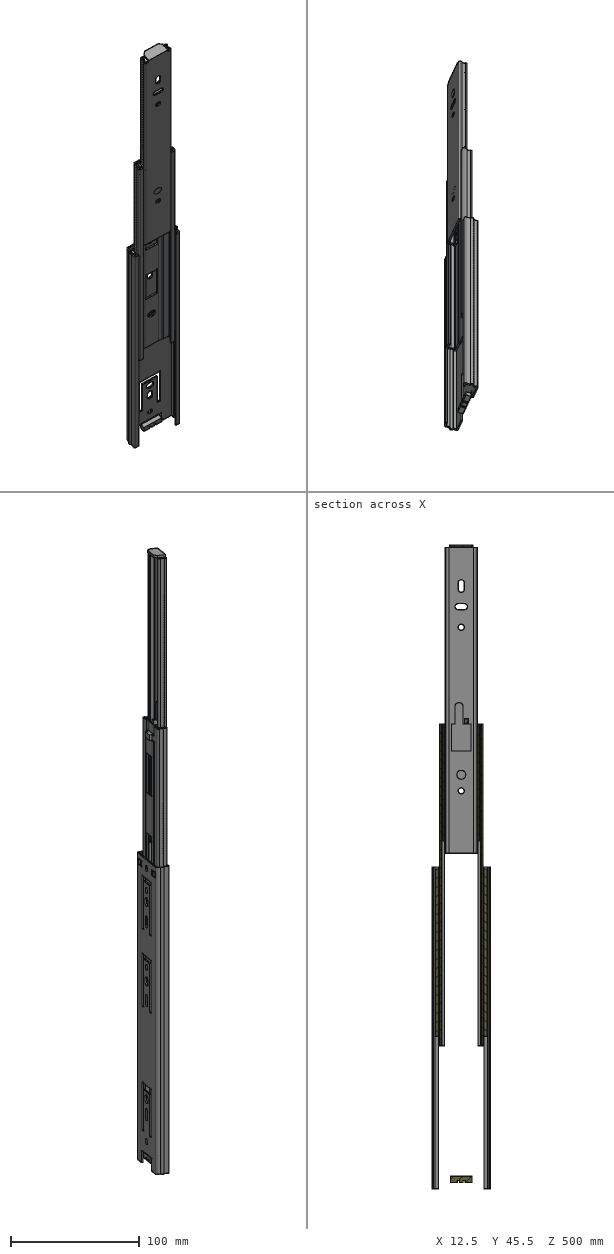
import cadquery as cq

SHEET = 1.25
HALF_LENGTH = 250.0
HALF_DEPTH = 12.5 / 2
BEND = 1.0
RACE_WIDTH = 3.0

OUTER_BACK = -HALF_DEPTH
OUTER_FRONT = 5.0
OUTER_HALF_WIDTH = 21.5
OUTER_MOUTH = 17.5
OUTER_RACE = (-1.0, 1.25)
OUTER_BOTTOM = -HALF_LENGTH
OUTER_TOP = 0.0

MIDDLE_BACK = -3.25
MIDDLE_FRONT = 5.0
MIDDLE_HALF_WIDTH = 17.0
MIDDLE_MOUTH = 13.0
MIDDLE_RACE = (0.0, -0.75)
MIDDLE_TOP = 111.0
MIDDLE_BOTTOM = MIDDLE_TOP - HALF_LENGTH
RIB_HALF_WIDTH = 10.5
RIB_HEIGHT = 0.75
RIB_SHOULDER_HEIGHT = 0.5
RIB_SHOULDER_HALF_WIDTH = 9.5
RIB_FACE_HALF_WIDTH = 6.5
RIB_TOP = 98.5

INNER_WEB = HALF_DEPTH
INNER_LIP = -0.75
INNER_HALF_WIDTH = 12.5
INNER_MOUTH = 9.5
INNER_RACE = (2.5, -0.75)
INNER_TOP = 248.0
INNER_BOTTOM = 10.5

HOLE = 4.5
LARGE_HOLE = 7.0
SLOT_LENGTH = 9.5


def box(x, y, z):
    """Block spanning the given (low, high) range on each axis."""
    size = [high - low for low, high in (x, y, z)]
    return cq.Workplane("XY").box(*size, centered=False).translate((x[0], y[0], z[0]))


def profile_bar(x_low, x_high, half_width, race, z_low, z_high):
    """Bar with a rounded ridge, or a groove if the race height is negative, along both Y sides."""
    race_x, race_height = race
    race_low = race_x - RACE_WIDTH / 2
    race_high = race_x + RACE_WIDTH / 2
    outline = (
        cq.Workplane("XY", origin=(0, 0, z_low))
        .moveTo(x_low, -half_width)
        .lineTo(race_low, -half_width)
        .threePointArc((race_x, -half_width - race_height), (race_high, -half_width))
        .lineTo(x_high, -half_width)
        .lineTo(x_high, half_width)
        .lineTo(race_high, half_width)
        .threePointArc((race_x, half_width + race_height), (race_low, half_width))
        .lineTo(x_low, half_width)
        .close()
    )
    return outline.extrude(z_high - z_low)


def channel(web_x, lip_x, half_width, mouth, race, z_low, z_high):
    """Lipped sheet channel with its web at web_x, open at lip_x."""
    x_low, x_high = sorted((web_x, lip_x))
    body = profile_bar(x_low, x_high, half_width, race, z_low, z_high)
    body = body.edges("|Z and (<X or >X)").fillet(BEND)
    cavity = profile_bar(x_low + SHEET, x_high - SHEET, half_width - SHEET, race, z_low, z_high)
    open_side = sorted((lip_x, (web_x + lip_x) / 2))
    opening = box(open_side, (-mouth, mouth), (z_low, z_high))
    return body.cut(cavity).cut(opening)


def slot(z, x, height=HOLE, width=HOLE):
    """Round-ended cutter along X through the range x; a hole when height equals width."""
    plane = cq.Workplane("YZ", origin=(x[0], 0, z))
    depth = x[1] - x[0]
    if height == width:
        return plane.circle(width / 2).extrude(depth)
    angle = 90 if height > width else 0
    return plane.slot2D(max(height, width), min(height, width), angle).extrude(depth)


WEB_CUT = (OUTER_BACK, OUTER_BACK + SHEET)
TONGUE_HALF_WIDTH = 7.0
TONGUE_SLIT_EDGE = 10.0
TONGUES = [
    (-15.5, -59.0, 3.5),
    (-79.0, -122.0, 3.5),
    (-184.0, -223.0, 5.0),
]
OUTER_HOLES = [-7.0, -25.0, -87.5, -229.5]
OUTER_LARGE_HOLES = [-34.5, -99.0, -195.0]
OUTER_SLOTS = [-50.5, -114.5, -207.5]
NOTCH_HALF_WIDTH = 11.0
NOTCH_TOP = -240.0
STOP_LIP_BOTTOM = -245.0
STOP_LIP_HALF_WIDTH = 8.5
STOP_LIP_REACH = 5.0
STOP_LIP_GROOVE_Y = (1.5, 3.0)
STOP_LIP_GROOVE_TOP = -243.5
MARK_Z = (-9.0, -4.5)
MARK_Y = (14.0, 19.5)
MARK_DEPTH = 0.5
SLIT_Y = (11.0, 11.5)


def tongue_slit(top, bottom, gap):
    """U-shaped slit that frees a tongue in the web on three sides."""
    edge, half = TONGUE_SLIT_EDGE, TONGUE_HALF_WIDTH
    return box(WEB_CUT, (-edge, edge), (bottom, top)).cut(
        box(WEB_CUT, (-half, half), (bottom, top - gap)))


def mirrored(y_range, side):
    return sorted(side * y for y in y_range)


def make_outer_rail():
    rail = channel(OUTER_BACK, OUTER_FRONT, OUTER_HALF_WIDTH, OUTER_MOUTH, OUTER_RACE,
                   OUTER_BOTTOM, OUTER_TOP)
    for top, bottom, gap in TONGUES:
        rail = rail.cut(tongue_slit(top, bottom, gap))
    for z in OUTER_HOLES:
        rail = rail.cut(slot(z, WEB_CUT))
    for z in OUTER_LARGE_HOLES:
        rail = rail.cut(slot(z, WEB_CUT, LARGE_HOLE, LARGE_HOLE))
    for z in OUTER_SLOTS:
        rail = rail.cut(slot(z, WEB_CUT, SLOT_LENGTH))
    for side in (-1, 1):
        rail = rail.cut(box(WEB_CUT, mirrored(SLIT_Y, side), MARK_Z))
        rail = rail.cut(box((OUTER_BACK, OUTER_BACK + MARK_DEPTH), mirrored(MARK_Y, side), MARK_Z))
    rail = rail.cut(box(WEB_CUT, (-NOTCH_HALF_WIDTH, NOTCH_HALF_WIDTH), (OUTER_BOTTOM, NOTCH_TOP)))
    lip_x = (OUTER_BACK + SHEET / 2, OUTER_BACK + STOP_LIP_REACH)
    stop_lip = box(lip_x, (-STOP_LIP_HALF_WIDTH, STOP_LIP_HALF_WIDTH), (STOP_LIP_BOTTOM, NOTCH_TOP))
    for side in (-1, 1):
        stop_lip = stop_lip.cut(box(lip_x, mirrored(STOP_LIP_GROOVE_Y, side),
                                    (STOP_LIP_BOTTOM, STOP_LIP_GROOVE_TOP)))
    return rail.union(stop_lip)


RIB_BACK = MIDDLE_BACK - RIB_HEIGHT
RIB_WINDOWS = [(53.0, 85.0), (-11.5, 20.0), (-76.0, -44.5)]
RIB_WINDOW_HALF_WIDTH = 5.5
RIB_HOLE_Z = OUTER_LARGE_HOLES[1]
TOP_NOTCH_HALF_WIDTH = 8.5
TOP_NOTCH_BOTTOM = 103.0
STOP_TAB_BACK = -5.5
STOP_TAB_HALF_WIDTH = 4.5


def rib_bar(x_offset):
    """Bar with sloping sides, as long as the rib, moved along X by x_offset."""
    shoulder_x = MIDDLE_BACK - RIB_SHOULDER_HEIGHT
    side = [(MIDDLE_BACK, RIB_HALF_WIDTH), (shoulder_x, RIB_SHOULDER_HALF_WIDTH),
            (RIB_BACK, RIB_FACE_HALF_WIDTH)]
    points = side + [(x, -y) for x, y in reversed(side)]
    bar = cq.Workplane("XY").workplane(offset=MIDDLE_BOTTOM).polyline(points).close()
    return bar.extrude(RIB_TOP - MIDDLE_BOTTOM).translate((x_offset, 0, 0))


def make_middle_rail():
    rail = channel(MIDDLE_BACK, MIDDLE_FRONT, MIDDLE_HALF_WIDTH, MIDDLE_MOUTH, MIDDLE_RACE,
                   MIDDLE_BOTTOM, MIDDLE_TOP)
    rail = rail.union(rib_bar(0)).cut(rib_bar(SHEET))
    rib_cut = (RIB_BACK, MIDDLE_BACK + SHEET)
    for z_range in RIB_WINDOWS:
        rail = rail.cut(box(rib_cut, (-RIB_WINDOW_HALF_WIDTH, RIB_WINDOW_HALF_WIDTH), z_range))
    rail = rail.cut(slot(RIB_HOLE_Z, rib_cut, LARGE_HOLE, LARGE_HOLE))
    rail = rail.cut(box(rib_cut, (-TOP_NOTCH_HALF_WIDTH, TOP_NOTCH_HALF_WIDTH),
                        (TOP_NOTCH_BOTTOM, MIDDLE_TOP)))
    stop_tab = box((STOP_TAB_BACK, MIDDLE_BACK), (-STOP_TAB_HALF_WIDTH, STOP_TAB_HALF_WIDTH),
                   (RIB_TOP, TOP_NOTCH_BOTTOM))
    return rail.union(stop_tab)


INNER_HOLES = [186.0, 59.0]
INNER_UPRIGHT_SLOT_Z = 218.0
INNER_CROSS_SLOT_Z = 202.0
DIMPLE_Z = 71.5
DIMPLE_DEPTH = 0.5
END_TAB_HALF_WIDTH = 9.0
END_TAB_TIP = -3.0
END_TAB_CHAMFER = 2.5


def make_inner_rail():
    rail = channel(INNER_WEB, INNER_LIP, INNER_HALF_WIDTH, INNER_MOUTH, INNER_RACE,
                   INNER_BOTTOM, INNER_TOP)
    web_cut = (INNER_WEB - SHEET, INNER_WEB)
    for z in INNER_HOLES:
        rail = rail.cut(slot(z, web_cut))
    rail = rail.cut(slot(INNER_UPRIGHT_SLOT_Z, web_cut, height=SLOT_LENGTH))
    rail = rail.cut(slot(INNER_CROSS_SLOT_Z, web_cut, width=SLOT_LENGTH))
    dimple = (web_cut[0], web_cut[0] + DIMPLE_DEPTH)
    rail = rail.cut(slot(DIMPLE_Z, dimple, LARGE_HOLE, LARGE_HOLE))
    end_tab = box((END_TAB_TIP, INNER_WEB), (-END_TAB_HALF_WIDTH, END_TAB_HALF_WIDTH),
                  (INNER_TOP, HALF_LENGTH)).edges("|Z and <X").chamfer(END_TAB_CHAMFER)
    return rail.union(end_tab)


OUTER_RETAINER_Y = (17.5, 20.0)
OUTER_RETAINER_LENGTH = 130.0
RETAINER_GAP = 1.5
INNER_RETAINER_Y = (13.0, 14.5)
INNER_RETAINER_BACK = MIDDLE_BACK + SHEET
INNER_RETAINER_FRONT = 2.5
INNER_RETAINER_BOTTOM = 20.0
BRIDGE_THICKNESS = 0.4
BRIDGE_HEIGHT = 17.5
LEVER_THICKNESS = 1.5
LEVER_BOTTOM = 90.0
LEVER_SHOULDER = 111.0
LEVER_HALF_WIDTH = 7.5
FINGER_Y = (-1.5, 5.0)
FINGER_TOP = 127.5
CATCH_Y = (-5.5, -2.5)
CATCH_TOP = 115.0
CATCH_TIP = -2.5


def make_outer_retainer(side):
    """Straight ball strip between the outer and middle flanges."""
    top = OUTER_TOP - RETAINER_GAP
    x_range = (OUTER_RACE[0] - RACE_WIDTH / 2, OUTER_RACE[0] + RACE_WIDTH / 2)
    return box(x_range, mirrored(OUTER_RETAINER_Y, side), (top - OUTER_RETAINER_LENGTH, top))


def make_inner_retainer():
    """Two ball strips beside the inner rail, joined by a thin bridge at the top."""
    bridge_x = (INNER_RETAINER_BACK, INNER_RETAINER_BACK + BRIDGE_THICKNESS)
    half = INNER_RETAINER_Y[1]
    retainer = box(bridge_x, (-half, half), (MIDDLE_TOP - BRIDGE_HEIGHT, MIDDLE_TOP))
    for side in (-1, 1):
        retainer = retainer.union(box((INNER_RETAINER_BACK, INNER_RETAINER_FRONT),
                                      mirrored(INNER_RETAINER_Y, side),
                                      (INNER_RETAINER_BOTTOM, MIDDLE_TOP)))
    return retainer


def make_latch_lever():
    """Flat lever on the web of the inner rail with a round-tipped finger and a catch."""
    x_range = (INNER_WEB - SHEET - LEVER_THICKNESS, INNER_WEB - SHEET)
    plate = box(x_range, (-LEVER_HALF_WIDTH, LEVER_HALF_WIDTH), (LEVER_BOTTOM, LEVER_SHOULDER))
    tip_radius = (FINGER_Y[1] - FINGER_Y[0]) / 2
    finger = box(x_range, FINGER_Y, (LEVER_SHOULDER, FINGER_TOP - tip_radius))
    tip = slot(FINGER_TOP - tip_radius, x_range, 2 * tip_radius, 2 * tip_radius)
    catch = box((CATCH_TIP, x_range[1]), CATCH_Y, (LEVER_SHOULDER, CATCH_TOP))
    plate = plate.union(catch)
    return plate.union(finger).union(tip.translate((0, sum(FINGER_Y) / 2, 0)))


outer_rail = make_outer_rail()
middle_rail = make_middle_rail()
inner_rail = make_inner_rail()
outer_retainers = [make_outer_retainer(side) for side in (-1, 1)]
inner_retainer = make_inner_retainer()
latch_lever = make_latch_lever()

result = cq.Compound.makeCompound([
    outer_rail.val(),
    middle_rail.val(),
    inner_rail.val(),
    *[retainer.val() for retainer in outer_retainers],
    inner_retainer.val(),
    latch_lever.val(),
])